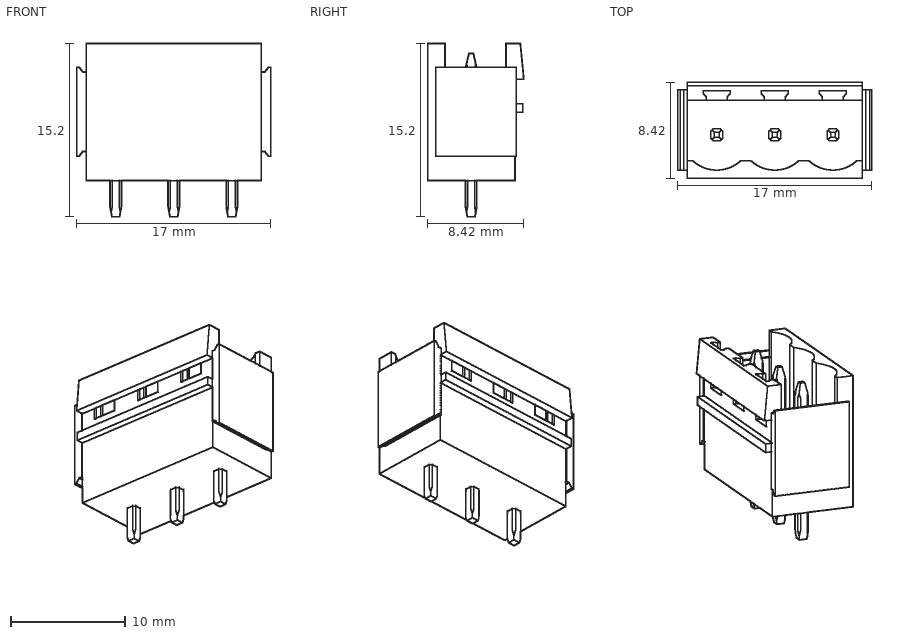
import cadquery as cq


overall_width = 17.0
housing_width = 15.35
housing_height = 12.02
front_face_y = -3.8
front_wall_inner_y = -2.28
back_wall_inner_y = 3.05
back_face_y = 3.86
cavity_floor_z = 3.0

pin_count = 3
pin_pitch = 5.08
pin_width = 1.02
pin_edge_chamfer = 0.2
pin_top_z = 11.14
pin_bottom_z = -3.18
pin_top_tip_width = 0.4
pin_top_taper = 1.33
pin_bottom_tip_width = 0.68
pin_bottom_taper = 0.92

clearance_radius = 3.1

slot_floor_z = 7.85
slot_mouth_width = 1.84
slot_wide_width = 2.35
slot_neck_depth = 0.27
slot_flare_depth = 0.56

latch_bottom_z = 8.87
latch_top_y = 4.32
latch_bottom_y = 4.62
rib_bottom_z = 5.97
rib_top_z = 6.75
rib_outer_y = 4.52

panel_front_y = -3.11
panel_back_y = 3.96
panel_bottom_z = 2.12
panel_top_z = 9.95
panel_lip_thickness = 0.2
panel_lip_height = 0.42
panel_slope_width = 0.34

pin_positions = [(i - (pin_count - 1) / 2) * pin_pitch for i in range(pin_count)]
half_width = housing_width / 2


def box(x_min, x_max, y_min, y_max, z_min, z_max):
    """Axis-aligned block between the given limits."""
    size = (x_max - x_min, y_max - y_min, z_max - z_min)
    return cq.Workplane("XY").box(*size, centered=False).translate((x_min, y_min, z_min))


def make_shell():
    """Trough of front wall, back wall and floor, open at both ends."""
    profile = [
        (front_face_y, 0),
        (back_face_y, 0),
        (back_face_y, housing_height),
        (back_wall_inner_y, housing_height),
        (back_wall_inner_y, cavity_floor_z),
        (front_wall_inner_y, cavity_floor_z),
        (front_wall_inner_y, housing_height),
        (front_face_y, housing_height),
    ]
    return cq.Workplane("YZ").polyline(profile).close().extrude(half_width, both=True)


def make_latch():
    """Wedge along the top of the back face, thickest at its lower edge."""
    profile = [
        (back_face_y, latch_bottom_z),
        (latch_bottom_y, latch_bottom_z),
        (latch_top_y, housing_height),
        (back_face_y, housing_height),
    ]
    return cq.Workplane("YZ").polyline(profile).close().extrude(half_width, both=True)


def make_rib():
    """Rectangular rib along the back face."""
    return box(-half_width, half_width, back_face_y, rib_outer_y, rib_bottom_z, rib_top_z)


def make_left_panel():
    """Plate closing the -X end, with its top and bottom edges raised into a thin outer lip."""
    outer_x = -overall_width / 2
    lip_x = outer_x + panel_lip_thickness
    slope_x = lip_x + panel_slope_width
    profile = [
        (outer_x, panel_bottom_z),
        (lip_x, panel_bottom_z),
        (slope_x, panel_bottom_z + panel_lip_height),
        (-half_width, panel_bottom_z + panel_lip_height),
        (-half_width, panel_top_z - panel_lip_height),
        (slope_x, panel_top_z - panel_lip_height),
        (lip_x, panel_top_z),
        (outer_x, panel_top_z),
    ]
    plate = cq.Workplane("XZ").polyline(profile).close().extrude(panel_back_y - panel_front_y)
    return plate.translate((0, panel_back_y, 0))


def make_clearance(x):
    """Front half of a round bore on a pin axis, from the cavity floor up through the top."""
    bore = cq.Workplane("XY").circle(clearance_radius).extrude(housing_height - cavity_floor_z)
    front_half = box(-clearance_radius, clearance_radius, -clearance_radius, 0, 0, housing_height)
    return bore.intersect(front_half).translate((x, 0, cavity_floor_z))


def make_slot(x):
    """Dovetail slot reaching from the cavity to the plane of the back face."""
    mouth = slot_mouth_width / 2
    wide = slot_wide_width / 2
    neck_y = back_wall_inner_y + slot_neck_depth
    flare_y = back_wall_inner_y + slot_flare_depth
    profile = [
        (-mouth, back_wall_inner_y),
        (mouth, back_wall_inner_y),
        (mouth, neck_y),
        (wide, flare_y),
        (wide, back_face_y),
        (-wide, back_face_y),
        (-wide, flare_y),
        (-mouth, neck_y),
    ]
    slot = cq.Workplane("XY").polyline(profile).close().extrude(housing_height - slot_floor_z)
    return slot.translate((x, 0, slot_floor_z))


def make_pin_bar(x):
    """Full-length square bar with chamfered long edges."""
    bar = cq.Workplane("XY").rect(pin_width, pin_width).extrude(pin_top_z - pin_bottom_z)
    return bar.edges("|Z").chamfer(pin_edge_chamfer).translate((x, 0, pin_bottom_z))


def make_pin(x):
    """Contact pin tapered to a blunt square tip at each end."""
    top_start_z = pin_top_z - pin_top_taper
    bottom_start_z = pin_bottom_z + pin_bottom_taper
    envelope = (
        cq.Workplane("XY", origin=(x, 0, bottom_start_z))
        .rect(pin_width, pin_width)
        .extrude(top_start_z - bottom_start_z)
    )
    top_tip = (
        cq.Workplane("XY", origin=(x, 0, top_start_z))
        .rect(pin_width, pin_width)
        .workplane(offset=pin_top_taper)
        .rect(pin_top_tip_width, pin_top_tip_width)
        .loft()
    )
    bottom_tip = (
        cq.Workplane("XY", origin=(x, 0, pin_bottom_z))
        .rect(pin_bottom_tip_width, pin_bottom_tip_width)
        .workplane(offset=pin_bottom_taper)
        .rect(pin_width, pin_width)
        .loft()
    )
    return make_pin_bar(x).intersect(envelope.union(top_tip).union(bottom_tip))


def make_housing():
    """Shell cut for the pins, closed by panels that the round clearances do not reach."""
    body = make_shell().union(make_latch()).union(make_rib())
    for x in pin_positions:
        body = body.cut(make_clearance(x)).cut(make_slot(x)).cut(make_pin_bar(x))
    left_panel = make_left_panel()
    right_panel = left_panel.mirror("YZ")
    return body.union(left_panel).union(right_panel)


housing = make_housing()
pins = [make_pin(x) for x in pin_positions]

result = cq.Compound.makeCompound([housing.val(), *[pin.val() for pin in pins]])